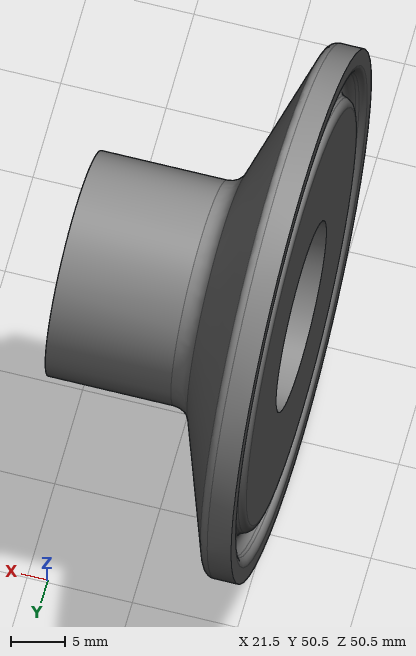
import math

import cadquery as cq

LENGTH = 21.5
FLANGE_RADIUS = 50.5 / 2
TUBE_RADIUS = 21.3 / 2
BORE_RADIUS = 18.1 / 2

RIM_WIDTH = 2.85
CONE_ANGLE = math.radians(20)
RIM_FILLET = 0.85
NECK_FILLET = 2.0

GROOVE_RADIUS = 43.4 / 2
GROOVE_FLOOR_RADIUS = 1.15
GROOVE_LIP_RADIUS = 0.85
GROOVE_WALL_ANGLE = math.radians(20)
GROOVE_DEPTH = 1.6


def make_body():
    """Flange, cone and tube as one solid of revolution, rounded where they meet."""
    cone_end = RIM_WIDTH + (FLANGE_RADIUS - TUBE_RADIUS) * math.tan(CONE_ANGLE)
    body = (
        cq.Workplane("XY")
        .moveTo(0, BORE_RADIUS)
        .lineTo(0, FLANGE_RADIUS)
        .lineTo(RIM_WIDTH, FLANGE_RADIUS)
        .lineTo(cone_end, TUBE_RADIUS)
        .lineTo(LENGTH, TUBE_RADIUS)
        .lineTo(LENGTH, BORE_RADIUS)
        .close()
        .revolve(360, (0, 0, 0), (1, 0, 0))
    )
    rim_corner = cq.selectors.RadiusNthSelector(-1)
    body = body.edges(rim_corner).edges(">X").fillet(RIM_FILLET)
    neck = cq.selectors.NearestToPointSelector((cone_end, 0, 0))
    return body.edges(neck).fillet(NECK_FILLET)


def make_groove():
    """Ring to cut from the sealing face; its section is symmetric about GROOVE_RADIUS."""
    floor_center = GROOVE_DEPTH - GROOVE_FLOOR_RADIUS
    sin_a = math.sin(GROOVE_WALL_ANGLE)
    cos_a = math.cos(GROOVE_WALL_ANGLE)

    floor_end = (floor_center + GROOVE_FLOOR_RADIUS * sin_a, GROOVE_FLOOR_RADIUS * cos_a)
    lip_start_depth = GROOVE_LIP_RADIUS * (1 - sin_a)
    lip_start_offset = floor_end[1] + (floor_end[0] - lip_start_depth) * math.tan(GROOVE_WALL_ANGLE)
    lip_center_offset = lip_start_offset + GROOVE_LIP_RADIUS * cos_a
    lip_mid_angle = (math.pi / 2 + GROOVE_WALL_ANGLE) / 2
    lip_mid = (
        GROOVE_LIP_RADIUS * (1 - math.sin(lip_mid_angle)),
        lip_center_offset - GROOVE_LIP_RADIUS * math.cos(lip_mid_angle),
    )

    def outer(depth, offset):
        return depth, GROOVE_RADIUS + offset

    def inner(depth, offset):
        return depth, GROOVE_RADIUS - offset

    return (
        cq.Workplane("XY")
        .moveTo(*outer(0, lip_center_offset))
        .threePointArc(outer(*lip_mid), outer(lip_start_depth, lip_start_offset))
        .lineTo(*outer(*floor_end))
        .threePointArc((GROOVE_DEPTH, GROOVE_RADIUS), inner(*floor_end))
        .lineTo(*inner(lip_start_depth, lip_start_offset))
        .threePointArc(inner(*lip_mid), inner(0, lip_center_offset))
        .close()
        .revolve(360, (0, 0, 0), (1, 0, 0))
    )


result = make_body().cut(make_groove())